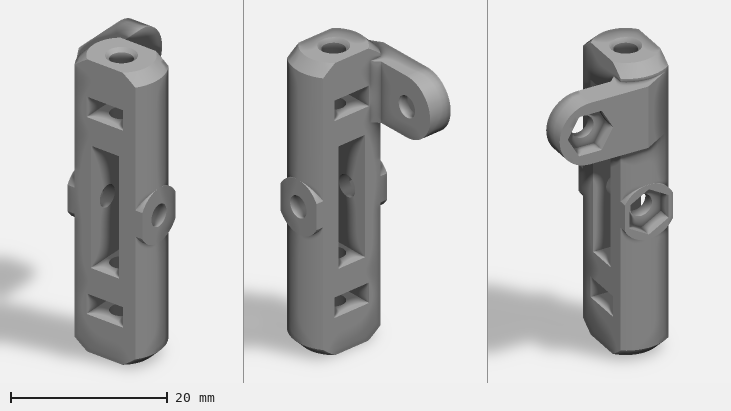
import cadquery as cq
import math

length = 43.0
bar_diameter = 12.0
thickness = 7.0
end_chamfer = 1.5
bar_radius = bar_diameter / 2
half_thickness = thickness / 2
middle_z = length / 2

boss_radius = 4.0

hole_diameter = 3.2
countersink_diameter = 4.2
nut_across_flats = 5.75
nut_across_corners = nut_across_flats / math.cos(math.pi / 6)
boss_nut_depth = 2.0
ear_nut_depth = 2.0

end_window_width = 5.85
end_window_height = 3.0
end_window_inset = 5.5
main_window_width = 4.5
main_window_height = 18.0

ear_overhang = 1.6
ear_thickness = 3.5
ear_radius = 4.5
ear_top_inset = 1.98
ear_reach = 10.5
ear_bend_y = 1.0
ear_foot_y = -2.7
ear_web_rise = 1.0
ear_outer_x = -bar_radius - ear_overhang
ear_inner_x = ear_outer_x + ear_thickness
ear_hole_y = half_thickness + ear_reach - ear_radius
ear_z = length - ear_top_inset - ear_radius


def x_cylinder(radius, x_start, depth, y, z):
    """Cylinder running along +X from x_start."""
    plane = cq.Workplane("YZ", origin=(x_start, y, z))
    return plane.circle(radius).extrude(depth)


def nut_recess(x_start, depth, y, z, turn):
    """Hexagonal prism along +X; turn rotates its corners from the Y axis."""
    plane = cq.Workplane("YZ", origin=(x_start, y, z)).transformed(rotate=(0, 0, turn))
    return plane.polygon(6, nut_across_corners).extrude(depth)


def window(width, height, z):
    return cq.Workplane("XY").box(width, thickness, height).translate((0, 0, z))


def make_body():
    bar = cq.Workplane("XY").circle(bar_radius).extrude(length)
    bar = bar.faces("<Z or >Z").chamfer(end_chamfer)
    bosses = x_cylinder(boss_radius, -bar_radius, bar_diameter, 0, middle_z)
    slab = cq.Workplane("XY").box(bar_diameter, thickness, length).translate((0, 0, middle_z))
    return bar.union(bosses).intersect(slab)


def make_ear():
    foot_x = -math.sqrt(bar_radius**2 - ear_foot_y**2)
    web_x = ear_inner_x + ear_web_rise
    tip_y = ear_hole_y + ear_radius
    profile = [
        (ear_outer_x, tip_y),
        (ear_outer_x, ear_bend_y),
        (foot_x, ear_foot_y),
        (web_x, ear_foot_y),
        (web_x, half_thickness),
        (ear_inner_x, half_thickness + ear_web_rise),
        (ear_inner_x, tip_y),
    ]
    plane = cq.Workplane("XY", origin=(0, 0, ear_z - ear_radius))
    ear = plane.polyline(profile).close().extrude(2 * ear_radius)
    span = ear_hole_y - ear_foot_y
    depth = web_x - ear_outer_x
    outline = x_cylinder(ear_radius, ear_outer_x, depth, ear_hole_y, ear_z)
    shank = cq.Workplane("YZ", origin=(ear_outer_x, ear_hole_y - span / 2, ear_z))
    outline = outline.union(shank.rect(span, 2 * ear_radius).extrude(depth))
    return ear.intersect(outline)


def long_hole():
    """Hole along Z through the bar, countersunk at both ends."""
    sink_depth = (countersink_diameter - hole_diameter) / 2
    hole_radius = hole_diameter / 2
    sink_radius = countersink_diameter / 2
    half_section = [
        (0, 0),
        (sink_radius, 0),
        (hole_radius, sink_depth),
        (hole_radius, length - sink_depth),
        (sink_radius, length),
        (0, length),
    ]
    return cq.Workplane("XZ").polyline(half_section).close().revolve(360, (0, 0), (0, 1))


result = make_body().union(make_ear())

result = result.cut(window(main_window_width, main_window_height, middle_z))
end_window_z = end_window_inset + end_window_height / 2
for window_z in (end_window_z, length - end_window_z):
    result = result.cut(window(end_window_width, end_window_height, window_z))

result = result.cut(long_hole())
result = result.cut(x_cylinder(hole_diameter / 2, -bar_radius, bar_diameter, 0, middle_z))
result = result.cut(x_cylinder(hole_diameter / 2, ear_outer_x, ear_thickness, ear_hole_y, ear_z))

result = result.cut(nut_recess(-bar_radius, boss_nut_depth, 0, middle_z, 90))
result = result.cut(nut_recess(ear_outer_x, ear_nut_depth, ear_hole_y, ear_z, 0))